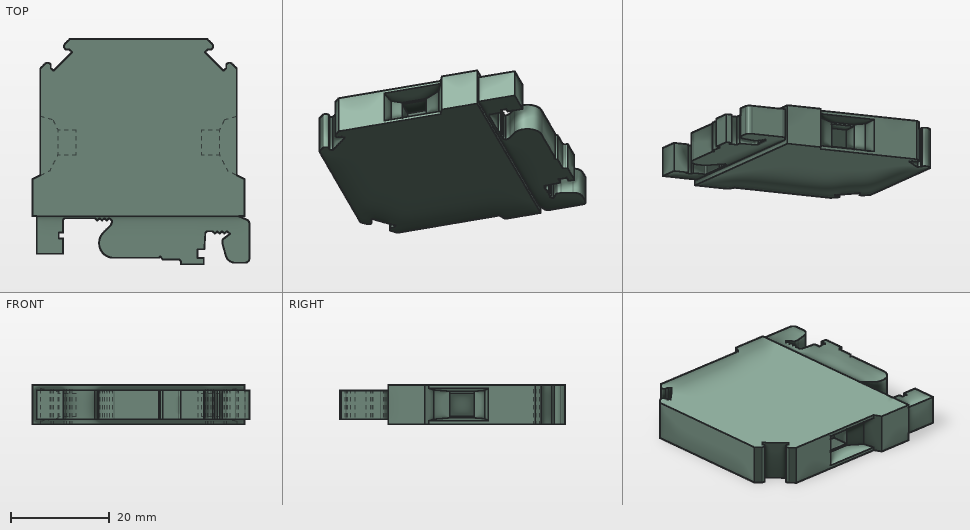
import cadquery as cq
import math


housing_width = 43.0
thickness = 8.0
housing_bottom = 9.8
housing_top = 45.7
middle_x = housing_width / 2
side_x = 1.55
shoulder_bottom = 17.27
shoulder_top = 18.05

flat_start_x = 7.6
lip_x = 6.4
lip_bend = (6.6, 44.7)
lip_arc_middle = (lip_x, 44.0)
lip_arc_end = (6.85, 43.5)
lip_under_x = 7.5
notch_end = (8.0, 43.0)

entry_top = 30.05
entry_wall_depth = 2.55
entry_wall_end = 29.35
entry_floor_depth = 3.55
entry_floor_top = 27.3
entry_floor_bottom = 22.25
entry_ramp_y = 19.0
entry_mouth_height = 6.63
entry_floor_height = 5.4
clamp_hole_height = 4.65
clamp_hole_depth = 3.65

foot_bottom = 1.0
foot_thickness = 5.85
overlap = 0.45

leg_left = 0.85
leg_right = 6.2
leg_end = 2.1
leg_slot_x = 5.35
leg_slot_top = 6.45
leg_slot_bottom = 5.25

tooth_pitch = 0.95
tooth_count = 3
tooth_height = 0.45
bay_corner_run = 0.65
bay_corner_drop = 0.5

left_bay_top = 9.3
left_teeth_x = 12.65
neck_arc_middle = (16.05, 8.35)
neck = (15.7, 7.75)
bulb_radius = 3.0
bulb_x = 16.5
bulb_bottom = 1.3

nick_start_x = 25.65
nick_peak = (25.9, 1.55)
pad_start_x = 26.4
pad_y = 0.95
toe_left = 30.05
toe_right = 34.75
toe_slot_x = 33.5
toe_slot_bottom = 1.3
toe_slot_top = 3.0
toe_root_round = 0.5

right_bay_bottom_x = 34.85
right_bay_top_x = 35.1
right_bay_top = 6.65
right_teeth_x = 36.5
bay_corner_round = 0.45

latch_nose = (38.53, 5.03)
latch_flank_top = (38.53, 4.1)
latch_flank_end = (39.58, 0.27)
latch_right = 44.0
latch_shoulder_x = 41.75
latch_shoulder_end = 8.8
latch_nose_round = 0.27
latch_tip_round = 2.05
latch_corner_round = 0.95


def across_corner(point):
    """Mirror a point about the 45 degree line through the corner where the side and top would meet."""
    corner_sum = side_x + housing_top
    return (corner_sum - point[1], corner_sum - point[0])


def half_housing():
    """The -X half of the housing plate."""
    return (
        cq.Workplane("XY")
        .moveTo(middle_x, housing_bottom)
        .lineTo(0, housing_bottom)
        .lineTo(0, shoulder_bottom)
        .lineTo(side_x, shoulder_top)
        .lineTo(*across_corner((flat_start_x, housing_top)))
        .lineTo(*across_corner(lip_bend))
        .threePointArc(across_corner(lip_arc_middle), across_corner(lip_arc_end))
        .lineTo(*across_corner((lip_under_x, lip_arc_end[1])))
        .lineTo(*across_corner(notch_end))
        .lineTo(*notch_end)
        .lineTo(lip_under_x, lip_arc_end[1])
        .lineTo(*lip_arc_end)
        .threePointArc(lip_arc_middle, lip_bend)
        .lineTo(flat_start_x, housing_top)
        .lineTo(middle_x, housing_top)
        .close()
        .extrude(thickness)
    )


def wire_entry():
    """The funnel in the -X side, with the blind clamp hole in its floor."""
    floor_x = side_x + entry_floor_depth
    shoulder_slope = side_x / (shoulder_top - shoulder_bottom)
    ramp_x = (entry_ramp_y - shoulder_bottom) * shoulder_slope
    plan = [
        (0, shoulder_bottom),
        (0, entry_top),
        (side_x, entry_top),
        (side_x + entry_wall_depth, entry_wall_end),
        (floor_x, entry_floor_top),
        (floor_x, entry_floor_bottom),
        (ramp_x, entry_ramp_y),
    ]
    funnel = cq.Workplane("XY").polyline(plan).close().extrude(thickness)

    half_mouth = entry_mouth_height / 2
    half_floor = entry_floor_height / 2
    section = [
        (0, -half_mouth),
        (side_x, -half_mouth),
        (floor_x, -half_floor),
        (floor_x, half_floor),
        (side_x, half_mouth),
        (0, half_mouth),
    ]
    taper = (
        cq.Workplane("XZ", origin=(0, 0, thickness / 2))
        .polyline(section)
        .close()
        .extrude(-housing_top)
    )

    hole_length = entry_floor_top - entry_floor_bottom
    clamp_hole = (
        cq.Workplane("XY", origin=(0, entry_floor_bottom, thickness / 2))
        .box(floor_x + clamp_hole_depth, hole_length, clamp_hole_height, centered=(False, False, True))
    )
    return funnel.intersect(taper).union(clamp_hole)


def bay_teeth(start_x, top):
    """Zigzag points along the top of a rail bay, ending in the sharp corner beside the last tooth."""
    points = [(start_x, top)]
    for index in range(tooth_count):
        root_x = start_x + index * tooth_pitch
        points.append((root_x + tooth_pitch / 2, top - tooth_height))
        points.append((root_x + tooth_pitch, top))
    last_x = start_x + tooth_count * tooth_pitch
    points.append((last_x + bay_corner_run, top - bay_corner_drop))
    return points


def foot():
    """The clip foot with its two toothed rail bays."""
    left_teeth = bay_teeth(left_teeth_x, left_bay_top)
    right_teeth = bay_teeth(right_teeth_x, right_bay_top)
    bulb_y = bulb_bottom + bulb_radius
    tangent_offset = bulb_radius / math.sqrt(2)
    bulb_start = (bulb_x - tangent_offset, bulb_y + tangent_offset)

    leg_points = [
        (leg_left, leg_end),
        (leg_right, leg_end),
        (leg_right, leg_slot_bottom),
        (leg_slot_x, leg_slot_bottom),
        (leg_slot_x, leg_slot_top),
        (leg_right, leg_slot_top),
        (leg_right, left_bay_top),
    ]
    toe_points = [
        (nick_start_x, bulb_bottom),
        nick_peak,
        (pad_start_x, pad_y),
        (toe_left, pad_y),
        (toe_left, 0),
        (toe_right, 0),
        (toe_right, toe_slot_bottom),
        (toe_slot_x, toe_slot_bottom),
        (toe_slot_x, toe_slot_top),
        (right_bay_bottom_x, toe_slot_top),
        (right_bay_top_x, right_bay_top),
    ]
    latch_points = [
        latch_nose,
        latch_flank_top,
        latch_flank_end,
        (latch_right, latch_flank_end[1]),
        (latch_right, latch_shoulder_end),
        (latch_shoulder_x, housing_bottom),
        (latch_shoulder_x, housing_bottom + overlap),
    ]
    solid = (
        cq.Workplane("XY", origin=(0, 0, foot_bottom))
        .moveTo(leg_left, housing_bottom + overlap)
        .polyline(leg_points + left_teeth, includeCurrent=True)
        .threePointArc(neck_arc_middle, neck)
        .lineTo(*bulb_start)
        .threePointArc((bulb_x - bulb_radius, bulb_y), (bulb_x, bulb_bottom))
        .polyline(toe_points + right_teeth + latch_points, includeCurrent=True)
        .close()
        .extrude(foot_thickness)
    )

    rounded_corners = [
        ((leg_right, left_bay_top), bay_corner_round),
        ((right_bay_top_x, right_bay_top), bay_corner_round),
        ((toe_left, pad_y), toe_root_round),
        (latch_nose, latch_nose_round),
        (latch_flank_end, latch_tip_round),
        ((latch_right, latch_flank_end[1]), latch_corner_round),
        ((latch_right, latch_shoulder_end), latch_corner_round),
    ]
    middle_z = foot_bottom + foot_thickness / 2
    for (corner_x, corner_y), radius in rounded_corners:
        corner_edge = cq.selectors.NearestToPointSelector((corner_x, corner_y, middle_z))
        solid = solid.edges("|Z").edges(corner_edge).fillet(radius)
    return solid


left_half = half_housing().cut(wire_entry())
right_half = left_half.mirror("YZ", (middle_x, 0, 0))
result = left_half.union(right_half).union(foot()).clean()